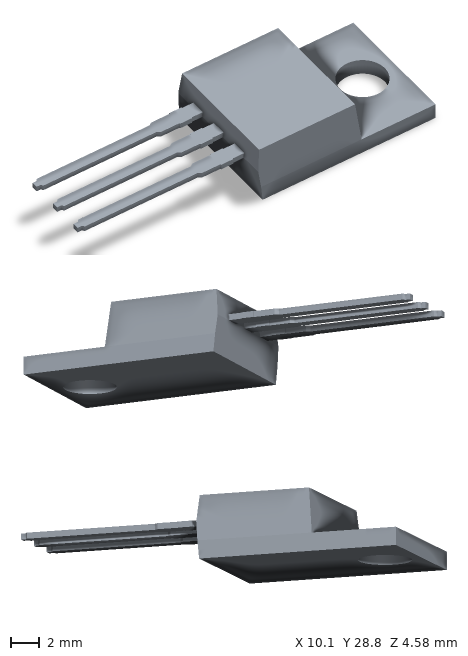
import cadquery as cq

total_length = 28.78
width = 10.1
height = 4.58

tab_thickness = 1.3
hole_diameter = 3.77
hole_center_y = -2.7

draft_slope = 0.1
body_back_y = -6.27
body_front_y = -14.95

lead_count = 3
lead_pitch = 2.53
lead_bottom_z = 2.68
lead_thickness = 0.43
lead_embed = 0.58
shoulder_half_width = 0.59
bump_half_width = 0.65
stem_half_width = 0.417
tip_half_width = 0.245
bump_start_y = -15.85
bump_end_y = -16.9
shoulder_end_y = -18.48
stem_start_y = -18.75
stem_end_y = -28.3
tip_start_y = -28.43


def make_tab():
    """Flat plate with the mounting hole, ending at the back of the body."""
    tab = cq.Workplane("XY").box(width, -body_back_y, tab_thickness, centered=(True, False, False))
    tab = tab.translate((0, body_back_y, 0))
    hole = cq.Workplane("XY").center(0, hole_center_y).circle(hole_diameter / 2).extrude(tab_thickness)
    return tab.cut(hole)


def make_body():
    """Intersect the side profile with the front profile to get the drafted block."""
    upper_inset = draft_slope * (height - tab_thickness)
    front_top_y = body_front_y + draft_slope * (height - lead_bottom_z)
    front_bottom_y = body_front_y + draft_slope * lead_bottom_z
    side_profile = (
        cq.Workplane("YZ")
        .moveTo(body_back_y, 0)
        .lineTo(body_back_y, tab_thickness)
        .lineTo(body_back_y - upper_inset, height)
        .lineTo(front_top_y, height)
        .lineTo(body_front_y, lead_bottom_z)
        .lineTo(front_bottom_y, 0)
        .close()
        .extrude(width / 2, both=True)
    )
    half_width = width / 2
    front_profile = (
        cq.Workplane("XZ")
        .moveTo(-half_width, 0)
        .lineTo(half_width, 0)
        .lineTo(half_width, tab_thickness)
        .lineTo(half_width - upper_inset, height)
        .lineTo(-half_width + upper_inset, height)
        .lineTo(-half_width, tab_thickness)
        .close()
        .extrude(total_length)
    )
    return side_profile.intersect(front_profile)


def lead_edge(side):
    """Points along one edge of a lead from the body to the tip; side is -1 or 1."""
    edge = [
        (shoulder_half_width, body_front_y + lead_embed),
        (shoulder_half_width, bump_start_y),
        (bump_half_width, bump_start_y),
        (bump_half_width, bump_end_y),
        (shoulder_half_width, bump_end_y),
        (shoulder_half_width, shoulder_end_y),
        (stem_half_width, stem_start_y),
        (stem_half_width, stem_end_y),
        (tip_half_width, tip_start_y),
        (tip_half_width, -total_length),
    ]
    return [(side * x, y) for x, y in edge]


def make_lead(index):
    """Flat lead with a bumped shoulder, a narrow stem and a tapered, narrower tip."""
    outline = lead_edge(-1) + lead_edge(1)[::-1]
    lead = cq.Workplane("XY").polyline(outline).close().extrude(lead_thickness)
    center_x = (index - (lead_count - 1) / 2) * lead_pitch
    return lead.translate((center_x, 0, lead_bottom_z))


result = make_tab().union(make_body())
for lead_index in range(lead_count):
    result = result.union(make_lead(lead_index))